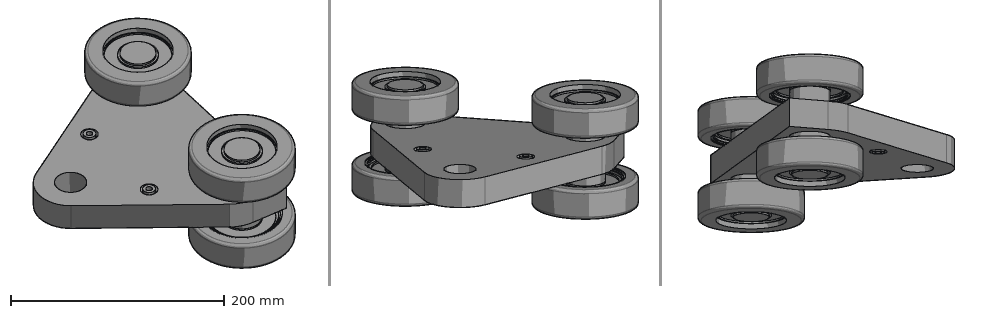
import cadquery as cq
import math

wheel_diameter = 100.0
wheel_width = 28.8
wheel_rim_fillet = 3.0
overall_width = 274
axle_spacing = overall_width - wheel_diameter
overall_height = 108.0
axle_diameter = 38.0

outer_recess_steps = [(66.0, 5.0), (63.5, 6.5)]
inner_recess_steps = [(76.0, 1.0), (72.0, 2.5), (68.8, 4.7), (63.5, 6.3)]

collar_diameter = 38.4
collar_height = 1.6

axle_tip_diameter = 34.0
axle_tip_depth = 3.0

plate_thickness = 27.5
plate_margin = 30
plate_side_length = 50.0
plate_corner_radius = 40.0
tip_radius = 35.0
tip_hole_diameter = 30
tip_hole_distance = 135.0

pin_spacing = 99.7
pin_distance = 80.0
pin_diameter = 12.0
pin_height = 0.8
pin_hole_diameter = 6.0
countersink_diameter = 16.5

half_height = overall_height / 2
half_plate = plate_thickness / 2
collar_top = half_height - outer_recess_steps[-1][1] + collar_height
axle_x = axle_spacing / 2
axle_points = [(-axle_x, 0), (axle_x, 0)]
pin_points = [(-pin_spacing / 2, -pin_distance), (pin_spacing / 2, -pin_distance)]


def cylinder(diameter, bottom, top):
    return cq.Workplane("XY").workplane(offset=bottom).circle(diameter / 2).extrude(top - bottom)


def make_plate():
    side_x = axle_x + plate_margin
    top_y = plate_margin
    corner_y = top_y - plate_side_length

    rise = corner_y + tip_hole_distance
    corner_to_tip = math.hypot(side_x, rise)
    normal_angle = math.atan2(rise, side_x) - math.acos(tip_radius / corner_to_tip)
    tangent_x = tip_radius * math.cos(normal_angle)
    tangent_y = tip_radius * math.sin(normal_angle) - tip_hole_distance

    plate = (
        cq.Workplane("XY")
        .workplane(offset=-half_plate)
        .moveTo(-side_x, top_y)
        .lineTo(side_x, top_y)
        .lineTo(side_x, corner_y)
        .lineTo(tangent_x, tangent_y)
        .threePointArc((0, -tip_hole_distance - tip_radius), (-tangent_x, tangent_y))
        .lineTo(-side_x, corner_y)
        .close()
        .extrude(plate_thickness)
    )
    for x in (-side_x, side_x):
        plate = plate.edges(cq.NearestToPointSelector((x, corner_y, 0))).fillet(plate_corner_radius)
    tip_hole = cylinder(tip_hole_diameter, -half_plate, half_plate)
    return plate.cut(tip_hole.translate((0, -tip_hole_distance, 0)))


def make_countersink():
    """45 degree cone that narrows to the pin diameter below the upper plate face."""
    depth = (countersink_diameter - pin_diameter) / 2
    return (
        cq.Workplane("XY")
        .workplane(offset=half_plate)
        .circle(countersink_diameter / 2)
        .workplane(offset=-depth)
        .circle(pin_diameter / 2)
        .loft()
    )


def make_wheel():
    """Upper wheel on the Z axis; its inner face is the one towards the plate."""
    inner_face = half_height - wheel_width
    wheel = cylinder(wheel_diameter, inner_face, half_height).edges().fillet(wheel_rim_fillet)
    for diameter, depth in outer_recess_steps:
        wheel = wheel.cut(cylinder(diameter, half_height - depth, half_height))
    for diameter, depth in inner_recess_steps:
        wheel = wheel.cut(cylinder(diameter, inner_face, inner_face + depth))

    inner_floor = inner_face + inner_recess_steps[-1][1]
    collar = cylinder(collar_diameter, inner_floor - collar_height, collar_top)
    return wheel.union(collar)


def make_axle():
    tip = half_height - axle_tip_depth
    shank = cylinder(axle_diameter, -collar_top, collar_top)
    return shank.union(cylinder(axle_tip_diameter, -tip, tip))


upper_wheel = make_wheel()
wheel_set = make_axle().union(upper_wheel).union(upper_wheel.mirror("XY"))
pin_end = half_plate + pin_height
pin = cylinder(pin_diameter, -pin_end, pin_end)
pin_hole = cylinder(pin_hole_diameter, -pin_end, pin_end)
upper_countersink = make_countersink()
countersinks = upper_countersink.union(upper_countersink.mirror("XY"))

result = make_plate()
for x, y in axle_points:
    result = result.union(wheel_set.translate((x, y, 0)))
for x, y in pin_points:
    result = result.cut(countersinks.translate((x, y, 0)))
    result = result.union(pin.translate((x, y, 0)))
    result = result.cut(pin_hole.translate((x, y, 0)))